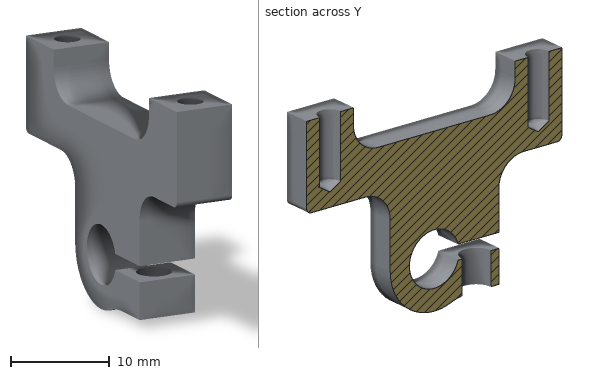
import cadquery as cq
import math


thickness = 6.35
bar_length = 33.02
top_z = 19.05
post_width = 6.096
post_rise = 5.08
arm_height = 10.16
inner_fillet = 3.175
arm_corner_radius = 0.635

bore_radius = 3.175
ring_radius = 5.715
jaw_end_x = 8.382
jaw_bottom_z = -4.826
jaw_blend_radius = 6.35
slot_height = 1.7

post_hole_diameter = 2.7
post_hole_depth = 7.62
drill_point_angle = 118.0

clamp_hole_diameter = 3.66
clamp_hole_x = 5.45

half_length = bar_length / 2
post_inner_x = half_length - post_width
deck_z = top_z - post_rise
arm_bottom_z = top_z - arm_height
post_hole_x = half_length - post_width / 2


def point_on_circle(center, radius, angle):
    """Point in the XZ plane at an angle in radians from +X."""
    x = center[0] + radius * math.cos(angle)
    z = center[1] + radius * math.sin(angle)
    return (x, z)


def extrude_along_y(profile):
    """Extrude an XZ sketch evenly to both sides of Y = 0."""
    return profile.extrude(thickness / 2, both=True)


def make_crossbar():
    outline = (
        cq.Workplane("XZ")
        .moveTo(-half_length, arm_bottom_z)
        .lineTo(-half_length, top_z)
        .lineTo(-post_inner_x, top_z)
        .lineTo(-post_inner_x, deck_z)
        .lineTo(post_inner_x, deck_z)
        .lineTo(post_inner_x, top_z)
        .lineTo(half_length, top_z)
        .lineTo(half_length, arm_bottom_z)
        .close()
    )
    return extrude_along_y(outline)


def make_clamp():
    blend_center_z = jaw_bottom_z - jaw_blend_radius
    center_distance = ring_radius + jaw_blend_radius
    blend_center_x = math.sqrt(center_distance**2 - blend_center_z**2)
    blend_center = (blend_center_x, blend_center_z)
    ring_center = (0, 0)

    tangent_angle = math.atan2(blend_center_z, blend_center_x)
    ring_mid_angle = (tangent_angle - math.pi) / 2
    blend_start_angle = tangent_angle + math.pi
    blend_mid_angle = (blend_start_angle + math.pi / 2) / 2

    ring_mid = point_on_circle(ring_center, ring_radius, ring_mid_angle)
    tangent_point = point_on_circle(ring_center, ring_radius, tangent_angle)
    blend_mid = point_on_circle(blend_center, jaw_blend_radius, blend_mid_angle)

    outline = (
        cq.Workplane("XZ")
        .moveTo(-ring_radius, deck_z)
        .lineTo(-ring_radius, 0)
        .threePointArc(ring_mid, tangent_point)
        .threePointArc(blend_mid, (blend_center_x, jaw_bottom_z))
        .lineTo(jaw_end_x, jaw_bottom_z)
        .lineTo(jaw_end_x, deck_z)
        .close()
    )
    return extrude_along_y(outline)


def edges_along_y(body, x_positions, z):
    """Select the edges parallel to Y that pass through the given points."""
    selected = body.newObject([])
    for x in x_positions:
        nearest = cq.selectors.NearestToPointSelector((x, 0, z))
        selected = selected.add(body.edges("|Y").edges(nearest))
    return selected


def round_corners(body):
    body = edges_along_y(body, (-post_inner_x, post_inner_x), deck_z).fillet(inner_fillet)
    body = edges_along_y(body, (-ring_radius, jaw_end_x), arm_bottom_z).fillet(inner_fillet)
    return edges_along_y(body, (-half_length, half_length), arm_bottom_z).fillet(arm_corner_radius)


def make_bore_and_slot():
    bore = extrude_along_y(cq.Workplane("XZ").circle(bore_radius))
    slot = cq.Workplane("XY").box(jaw_end_x, thickness, slot_height, centered=(False, True, True))
    return bore.union(slot)


def make_post_hole(x):
    """Drilled hole with a conical bottom, opening at the top of a post."""
    radius = post_hole_diameter / 2
    point_length = radius / math.tan(math.radians(drill_point_angle / 2))
    bottom_z = top_z - post_hole_depth
    half_section = (
        cq.Workplane("XZ")
        .moveTo(0, top_z)
        .lineTo(radius, top_z)
        .lineTo(radius, bottom_z)
        .lineTo(0, bottom_z - point_length)
        .close()
    )
    return half_section.revolve(360, (0, 0), (0, 1)).translate((x, 0, 0))


def make_clamp_hole():
    """Vertical hole through the lower jaw, from the level of the ring bottom to the slot."""
    return (
        cq.Workplane("XY", origin=(clamp_hole_x, 0, -ring_radius))
        .circle(clamp_hole_diameter / 2)
        .extrude(ring_radius)
    )


result = round_corners(make_crossbar().union(make_clamp()).clean())
result = result.cut(make_bore_and_slot())
result = result.cut(make_clamp_hole())
for hole_x in (-post_hole_x, post_hole_x):
    result = result.cut(make_post_hole(hole_x))